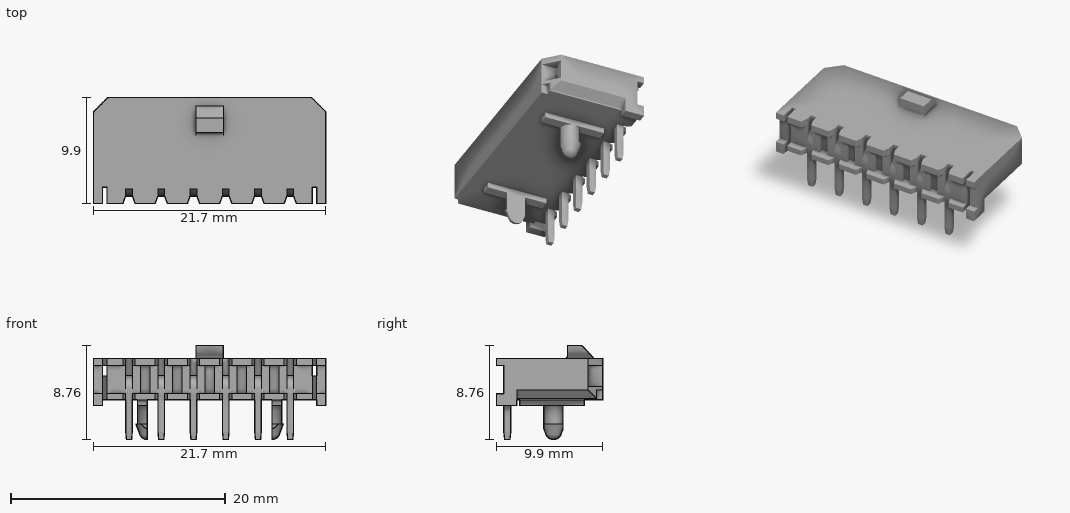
import cadquery as cq
import math


LENGTH = 21.65
DEPTH = 9.9
HEIGHT = 3.85
CORNER_CHAMFER = 1.36
HALF_LENGTH = LENGTH / 2

FLANGE_DEPTH = 0.67
TOP_FLANGE_THICKNESS = 0.67
BOTTOM_FLANGE_THICKNESS = 0.56
FLANGE_GAP_BOTTOM = BOTTOM_FLANGE_THICKNESS - HEIGHT

PIN_COUNT = 6
PIN_ROW_SPAN = 15.0
PIN_PITCH = PIN_ROW_SPAN / (PIN_COUNT - 1)
PIN_XS = [i * PIN_PITCH - PIN_ROW_SPAN / 2 for i in range(PIN_COUNT)]
PIN_WIDTH = 0.63
PIN_THICKNESS = 0.67
PIN_BACK_Y = FLANGE_DEPTH + PIN_THICKNESS
PIN_BOTTOM = -7.55
PIN_TIP_LENGTH = 0.71
PIN_TIP_WIDTH = 0.5
PIN_TIP_THICKNESS = 0.52
PIN_BEND_START = -2.8
PIN_BEND_RADIUS = 1.36
FLANGE_NOTCH_WIDTH = 1.13

GROOVE_WIDTH = 0.87
GROOVE_DEPTH = 0.43

FOOT_WIDTH = 0.87
FOOT_DEPTH = 1.9
STANDOFF = 0.55
SLOT_WIDTH = 0.4
SLOT_DEPTH = 1.52
CHANNEL_BOTTOM = -1.62

CORNER_WINDOW_BOTTOM = -2.62
SIDE_BEVEL = 0.78
SIDE_BEVEL_TOP = -2.95
LOWER_CORNER_CUT_DEPTH = 0.6

LATCH_WIDTH = 2.58
LATCH_HEIGHT = 1.21
LATCH_FRONT_Y = 6.6
LATCH_RAMP_TOP_Y = 7.95
LATCH_RAMP_FOOT_Y = 9.07
LATCH_FILLET = 0.24

PEG_RADIUS = 0.9
PEG_FLAT_X = 5.8
PEG_Y = 5.3
BARB_TOP = -6.13
BARB_RADIUS = 1.06
BARB_DOME_TOP = -7.17
BARB_DOME_RADIUS = 0.67
PEG_BOTTOM = PIN_BOTTOM
RIB_FRONT_Y = 2.16
RIB_BACK_Y = 8.18


def block(x_range, y_range, z_range):
    """Box between the given limits."""
    (x0, x1), (y0, y1), (z0, z1) = x_range, y_range, z_range
    return cq.Workplane("XY").box(x1 - x0, y1 - y0, z1 - z0, centered=False).translate((x0, y0, z0))


def both_ends(left_solid):
    """A left-end solid together with its mirror image at the right end."""
    return left_solid.union(left_solid.mirror("YZ"))


def housing_shell():
    """Block with chamfered rear corners and a recess between the front flanges."""
    body = block((-HALF_LENGTH, HALF_LENGTH), (0, DEPTH), (-HEIGHT, 0))
    body = body.edges("|Z and >Y").chamfer(CORNER_CHAMFER)
    recess = block((-HALF_LENGTH, HALF_LENGTH), (0, FLANGE_DEPTH), (FLANGE_GAP_BOTTOM, -TOP_FLANGE_THICKNESS))
    return body.cut(recess)


def side_bevels():
    """Wedges removed from the lower side edges behind the feet."""
    bevel = (
        cq.Workplane("XZ", origin=(-HALF_LENGTH, FOOT_DEPTH, 0))
        .moveTo(0, SIDE_BEVEL_TOP)
        .lineTo(SIDE_BEVEL, SIDE_BEVEL_TOP - SIDE_BEVEL)
        .lineTo(SIDE_BEVEL, -HEIGHT)
        .lineTo(0, -HEIGHT)
        .close()
        .extrude(FOOT_DEPTH - DEPTH)
    )
    return both_ends(bevel)


def corner_cuts():
    """Window in each rear corner, and the step cut below it."""
    x_range = (-HALF_LENGTH, CORNER_CHAMFER - HALF_LENGTH)
    window = block(x_range, (DEPTH - CORNER_CHAMFER, DEPTH), (CORNER_WINDOW_BOTTOM, -TOP_FLANGE_THICKNESS))
    step = block(x_range, (DEPTH - LOWER_CORNER_CUT_DEPTH, DEPTH), (-HEIGHT, SIDE_BEVEL_TOP))
    return both_ends(window.union(step))


def end_slots():
    """Full-height front slot at each end, with a channel running on to the corner window."""
    slot_x = FOOT_WIDTH - HALF_LENGTH
    x_range = (slot_x, slot_x + SLOT_WIDTH)
    slot = block(x_range, (0, SLOT_DEPTH), (-HEIGHT, 0))
    channel = block(x_range, (SLOT_DEPTH, DEPTH), (CHANNEL_BOTTOM, -TOP_FLANGE_THICKNESS))
    return both_ends(slot.union(channel))


def feet():
    foot = block(
        (-HALF_LENGTH, FOOT_WIDTH - HALF_LENGTH), (0, FOOT_DEPTH), (-HEIGHT - STANDOFF, FLANGE_GAP_BOTTOM)
    )
    return both_ends(foot)


def pin_channel(x):
    """Channel for one pin, opening through tapered notches in both flanges."""
    channel = block((x - PIN_WIDTH / 2, x + PIN_WIDTH / 2), (0, PIN_BACK_Y), (-HEIGHT, 0))
    notch = (
        cq.Workplane("XY")
        .moveTo(x - FLANGE_NOTCH_WIDTH / 2, 0)
        .lineTo(x + FLANGE_NOTCH_WIDTH / 2, 0)
        .lineTo(x + PIN_WIDTH / 2, FLANGE_DEPTH)
        .lineTo(x - PIN_WIDTH / 2, FLANGE_DEPTH)
        .close()
        .extrude(-HEIGHT)
    )
    return channel.union(notch)


def groove(x):
    return block(
        (x - GROOVE_WIDTH / 2, x + GROOVE_WIDTH / 2),
        (FLANGE_DEPTH, FLANGE_DEPTH + GROOVE_DEPTH),
        (FLANGE_GAP_BOTTOM, -TOP_FLANGE_THICKNESS),
    )


def pin(x):
    """Pin leg with a tapered tip, its rounded bend running back into the housing."""
    shank_bottom = PIN_BOTTOM + PIN_TIP_LENGTH
    bend_axis_y = FLANGE_DEPTH + PIN_BEND_RADIUS
    shank = block(
        (x - PIN_WIDTH / 2, x + PIN_WIDTH / 2), (FLANGE_DEPTH, PIN_BACK_Y), (shank_bottom, PIN_BEND_START)
    )
    bend = (
        cq.Workplane("YZ", origin=(x, bend_axis_y, PIN_BEND_START))
        .circle(PIN_BEND_RADIUS)
        .extrude(PIN_WIDTH / 2, both=True)
    )
    bend = bend.intersect(
        block(
            (x - PIN_WIDTH / 2, x + PIN_WIDTH / 2),
            (FLANGE_DEPTH, bend_axis_y),
            (PIN_BEND_START, PIN_BEND_START + PIN_BEND_RADIUS),
        )
    )
    tip = (
        cq.Workplane("XY", origin=(x, FLANGE_DEPTH + PIN_THICKNESS / 2, shank_bottom))
        .rect(PIN_WIDTH, PIN_THICKNESS)
        .workplane(offset=-PIN_TIP_LENGTH)
        .rect(PIN_TIP_WIDTH, PIN_TIP_THICKNESS)
        .loft()
    )
    return shank.union(bend).union(tip)


def latch():
    """Ramped catch on the top, with a concave fillet at the foot of its front face."""
    catch = (
        cq.Workplane("YZ")
        .moveTo(LATCH_RAMP_FOOT_Y, 0)
        .lineTo(LATCH_RAMP_TOP_Y, LATCH_HEIGHT)
        .lineTo(LATCH_FRONT_Y, LATCH_HEIGHT)
        .lineTo(LATCH_FRONT_Y, LATCH_FILLET)
        .tangentArcPoint((-LATCH_FILLET, -LATCH_FILLET))
        .close()
    )
    return catch.extrude(LATCH_WIDTH / 2, both=True)


def pegs():
    """Half-round barbed pegs with flat inner faces, each under a support rib."""
    rib_bottom = -HEIGHT - STANDOFF
    x_range = (-PEG_FLAT_X - PEG_RADIUS, -PEG_FLAT_X)
    rib = block(x_range, (RIB_FRONT_Y, RIB_BACK_Y), (rib_bottom, -HEIGHT))

    cap_height = BARB_DOME_TOP - PEG_BOTTOM
    sphere_radius = (BARB_DOME_RADIUS**2 + cap_height**2) / (2 * cap_height)
    half_rim = BARB_DOME_RADIUS / 2
    mid_drop = math.sqrt(sphere_radius**2 - half_rim**2)
    dome_middle = (half_rim, PEG_BOTTOM + sphere_radius - mid_drop)
    post = (
        cq.Workplane("XZ")
        .moveTo(0, rib_bottom)
        .lineTo(PEG_RADIUS, rib_bottom)
        .lineTo(PEG_RADIUS, BARB_TOP)
        .lineTo(BARB_RADIUS, BARB_TOP)
        .lineTo(BARB_DOME_RADIUS, BARB_DOME_TOP)
        .threePointArc(dome_middle, (0, PEG_BOTTOM))
        .close()
        .revolve(360, (0, 0), (0, 1))
        .translate((-PEG_FLAT_X, PEG_Y, 0))
    )
    kept_half = block(
        (-PEG_FLAT_X - BARB_RADIUS, -PEG_FLAT_X),
        (PEG_Y - PEG_RADIUS, PEG_Y + PEG_RADIUS),
        (PEG_BOTTOM, rib_bottom),
    )
    return both_ends(rib.union(post.intersect(kept_half)))


result = housing_shell().cut(side_bevels()).cut(corner_cuts()).union(feet()).cut(end_slots())
for left_pin_x in PIN_XS[:-1]:
    result = result.cut(groove(left_pin_x + PIN_PITCH / 2))
for pin_x in PIN_XS:
    result = result.cut(pin_channel(pin_x)).union(pin(pin_x))
result = result.union(latch()).union(pegs())